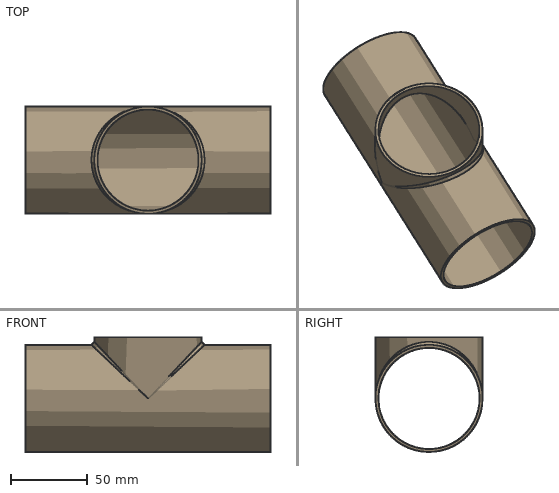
import cadquery as cq
import math

run_length = 160.0
outer_diameter = 70.0
bore_diameter = 66.0
overall_height = 75.0
weld_leg = 2.0

outer_radius = outer_diameter / 2
bore_radius = bore_diameter / 2
branch_height = overall_height - outer_radius


def run_cylinder(radius):
    """Horizontal cylinder along X, centred on the origin."""
    return cq.Workplane("YZ", origin=(-run_length / 2, 0, 0)).circle(radius).extrude(run_length)


def branch_cylinder(radius):
    """Vertical cylinder from the run axis up to the branch rim."""
    return cq.Workplane("XY").circle(radius).extrude(branch_height)


def weld(side):
    """Weld in the corner between branch and run, on side +1 or -1 along X.

    An elliptical cylinder square to the 45 degree joint plane bevels the corner
    and tapers to nothing at y = +/-outer_radius, where the pipes are tangent.
    The box keeps only the stretch beside the joint; the rest lies inside the pipes.
    """
    bevel_reach = (2 * outer_radius + weld_leg) / math.sqrt(2)
    bevel_length = 2 * outer_diameter
    joint_plane = cq.Plane(origin=(0, 0, 0), xDir=(0, 1, 0), normal=(side, 0, -1))
    bevel = (
        cq.Workplane(joint_plane)
        .workplane(offset=-bevel_length / 2)
        .ellipse(outer_radius, bevel_reach)
        .extrude(bevel_length)
    )
    box_side = outer_radius + weld_leg
    corner_box = (
        cq.Workplane("XY")
        .box(box_side, outer_diameter, box_side, centered=(True, True, False))
        .translate((side * box_side / 2, 0, 0))
    )
    return bevel.intersect(corner_box)


body = run_cylinder(outer_radius).union(branch_cylinder(outer_radius))
for side in (-1, 1):
    body = body.union(weld(side))

result = body.cut(run_cylinder(bore_radius)).cut(branch_cylinder(bore_radius))